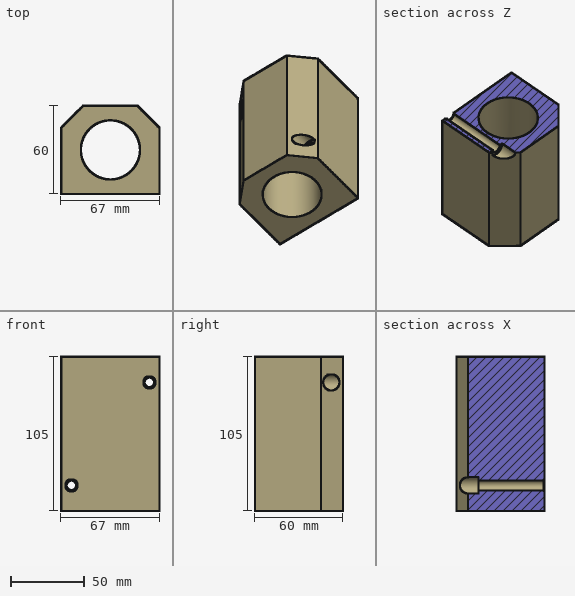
import cadquery as cq

width = 67.0
depth = 60.0
height = 105.0
corner_chamfer = 15.0
bore_diameter = 40.0

hole_diameter = 6.6
hole_mouth_diameter = 8.3
hole_side_offset = 26.5
hole_end_offset = 17.5
head_recess_diameter = 11.0
head_recess_depth = corner_chamfer

hole_positions = [
    (-hole_side_offset, hole_end_offset),
    (hole_side_offset, height - hole_end_offset),
]


def make_block():
    """Rectangular block with chamfered rear corners and a vertical bore."""
    block = cq.Workplane("XY").box(width, depth, height, centered=(True, False, False))
    block = block.edges("|Z and >Y").chamfer(corner_chamfer)
    bore = (
        cq.Workplane("XY")
        .center(0, depth / 2)
        .circle(bore_diameter / 2)
        .extrude(height)
    )
    return block.cut(bore)


def make_screw_hole(x, z):
    """Through hole along Y, countersunk in front and recessed at the rear."""
    front = cq.Workplane("XZ", origin=(x, 0, z))
    through = front.circle(hole_diameter / 2).extrude(-depth)
    mouth_depth = (hole_mouth_diameter - hole_diameter) / 2
    mouth = cq.Workplane(
        cq.Solid.makeCone(
            hole_mouth_diameter / 2,
            hole_diameter / 2,
            mouth_depth,
            pnt=cq.Vector(x, 0, z),
            dir=cq.Vector(0, 1, 0),
        )
    )
    recess = (
        cq.Workplane("XZ", origin=(x, depth, z))
        .circle(head_recess_diameter / 2)
        .extrude(head_recess_depth)
    )
    return through.union(mouth).union(recess)


result = make_block()
for hole_x, hole_z in hole_positions:
    result = result.cut(make_screw_hole(hole_x, hole_z))